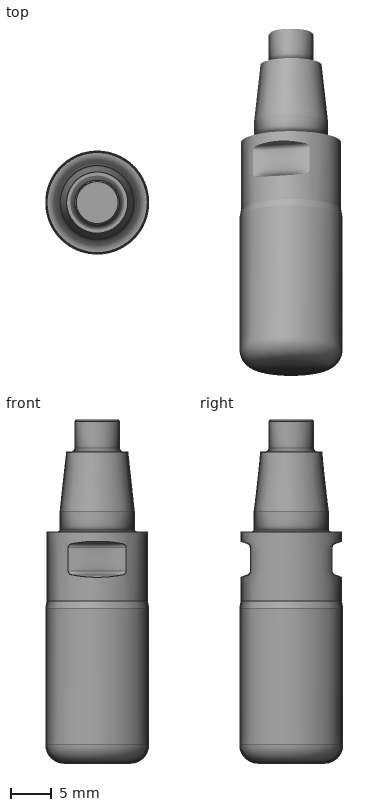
import cadquery as cq
import math

total_height = 42.3
sleeve_radius = 6.35

sleeve_top = 19.95
sleeve_taper_height = 0.9
bottom_round = 2.3

collar_radius = 6.18
collar_top = 28.5
flat_offset = 5.05
flat_center_height = 25.13
flat_mouth_height = 4.45
flat_wall_angle = 20.0
flat_round = 0.5

neck_radius = 4.55
neck_fillet = 0.3
cone_bottom = 31.0
cone_top = 38.32
cone_top_radius = 3.75

tip_radius = 2.75
tip_fillet = 0.5
tip_chamfer = 0.15


def make_sleeve():
    """Solid cylinder with a rounded bottom edge and a slight taper at the top."""
    straight_height = sleeve_top - sleeve_taper_height
    profile = (
        cq.Workplane("XZ")
        .lineTo(sleeve_radius, 0)
        .lineTo(sleeve_radius, straight_height)
        .lineTo(collar_radius, sleeve_top)
        .lineTo(0, sleeve_top)
        .close()
    )
    sleeve = profile.revolve(360, (0, 0), (0, 1))
    return sleeve.faces("<Z").edges().fillet(bottom_round)


def make_flat_cutter():
    """Wedge that cuts the wrench flat on the -Y side, with sloped and filleted end walls."""
    outer_offset = sleeve_radius
    wall_slope = math.tan(math.radians(flat_wall_angle))
    mouth_half = flat_mouth_height / 2
    inner_half = mouth_half - (collar_radius - flat_offset) * wall_slope
    outer_half = mouth_half + (outer_offset - collar_radius) * wall_slope
    section = [
        (-flat_offset, flat_center_height - inner_half),
        (-outer_offset, flat_center_height - outer_half),
        (-outer_offset, flat_center_height + outer_half),
        (-flat_offset, flat_center_height + inner_half),
    ]
    cutter = cq.Workplane("YZ").polyline(section).close().extrude(collar_radius, both=True)
    return cutter.faces(">Y").edges("|X").fillet(flat_round)


def make_spindle():
    """Turned upper body: collar, neck, cone and tip, with two wrench flats."""
    profile = (
        cq.Workplane("XZ")
        .moveTo(0, sleeve_top)
        .lineTo(collar_radius, sleeve_top)
        .lineTo(collar_radius, collar_top)
        .lineTo(neck_radius + neck_fillet, collar_top)
        .radiusArc((neck_radius, collar_top + neck_fillet), neck_fillet)
        .lineTo(neck_radius, cone_bottom)
        .lineTo(cone_top_radius, cone_top)
        .lineTo(tip_radius + tip_fillet, cone_top)
        .radiusArc((tip_radius, cone_top + tip_fillet), tip_fillet)
        .lineTo(tip_radius, total_height - tip_chamfer)
        .lineTo(tip_radius - tip_chamfer, total_height)
        .lineTo(0, total_height)
        .close()
    )
    spindle = profile.revolve(360, (0, 0), (0, 1))
    flat_cutter = make_flat_cutter()
    for angle in (0, 180):
        spindle = spindle.cut(flat_cutter.rotate((0, 0, 0), (0, 0, 1), angle))
    return spindle


sleeve = make_sleeve()
spindle = make_spindle()

result = cq.Compound.makeCompound([sleeve.val(), spindle.val()])